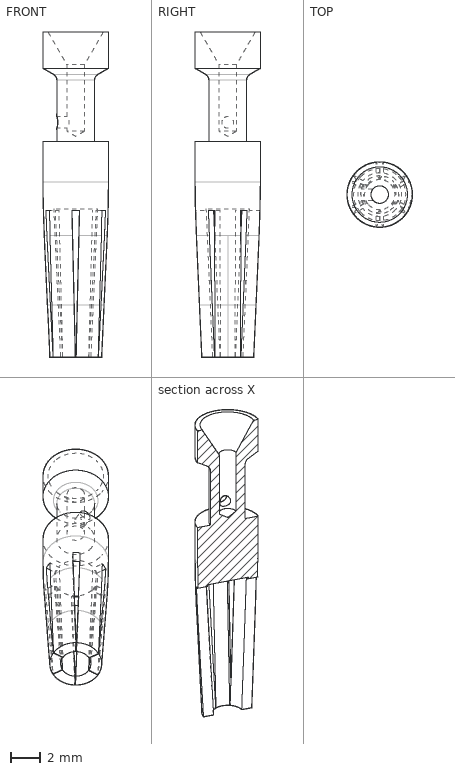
import cadquery as cq
import math

total_height = 22.3
body_radius = 2.25
tip_radius = 1.785

body_top_z = 14.8
collar_bottom_z = 12.0
bend_bottom_z = 8.35
tip_band_z = 3.6
bend_apex_z = (collar_bottom_z + bend_bottom_z) / 2
taper_angle = math.atan((body_radius - tip_radius) / bend_apex_z)

neck_radius = 1.3
head_height = 2.5
head_bottom_z = total_height - head_height
head_cone_angle = math.radians(30)
neck_fillet_radius = 0.45

funnel_radius = 1.9
funnel_half_angle = math.radians(30)
wire_radius = 0.6
wire_bottom_z = 15.5
drill_half_angle = math.radians(59)

inspection_radius = 0.4
inspection_z = 16.1

finger_wall = 0.75
socket_depth = bend_apex_z
slot_count = 6
slot_height = 10.05
slot_top_width = 0.5
slot_tip_width = 0.03
slot_overshoot = 1.0


def taper_radius(z):
    """Radius of the cone that forms the lower part of the body."""
    return tip_radius + z * math.tan(taper_angle)


def make_outside():
    """Turned outline revolved around Z, with the tip band kept as its own face."""
    bend_radius = (collar_bottom_z - bend_bottom_z) / math.sin(taper_angle)
    bend_mid_angle = taper_angle / 2
    bend_mid = (
        body_radius - bend_radius * (1 - math.cos(bend_mid_angle)),
        collar_bottom_z - bend_radius * math.sin(bend_mid_angle),
    )

    cone_foot_z = head_bottom_z - (body_radius - neck_radius) * math.tan(head_cone_angle)
    turn_angle = math.pi / 2 - head_cone_angle
    tangent_length = neck_fillet_radius * math.tan(turn_angle / 2)
    fillet_bottom_z = cone_foot_z - tangent_length
    fillet_center_r = neck_radius + neck_fillet_radius
    fillet_mid = (
        fillet_center_r - neck_fillet_radius * math.cos(turn_angle / 2),
        fillet_bottom_z + neck_fillet_radius * math.sin(turn_angle / 2),
    )
    fillet_top = (
        neck_radius + tangent_length * math.cos(head_cone_angle),
        cone_foot_z + tangent_length * math.sin(head_cone_angle),
    )

    return (
        cq.Workplane("XZ")
        .moveTo(0, 0)
        .lineTo(tip_radius, 0)
        .lineTo(taper_radius(tip_band_z), tip_band_z)
        .lineTo(taper_radius(bend_bottom_z), bend_bottom_z)
        .threePointArc(bend_mid, (body_radius, collar_bottom_z))
        .lineTo(body_radius, body_top_z)
        .lineTo(neck_radius, body_top_z)
        .lineTo(neck_radius, fillet_bottom_z)
        .threePointArc(fillet_mid, fillet_top)
        .lineTo(body_radius, head_bottom_z)
        .lineTo(body_radius, total_height)
        .lineTo(0, total_height)
        .close()
        .revolve(360, (0, 0, 0), (0, 1, 0), clean=False)
    )


def make_wire_entry():
    """Funnel leading into a drilled bore with a conical end."""
    funnel_bottom_z = total_height - (funnel_radius - wire_radius) / math.tan(funnel_half_angle)
    drill_tip_z = wire_bottom_z - wire_radius / math.tan(drill_half_angle)
    return (
        cq.Workplane("XZ")
        .moveTo(0, total_height)
        .lineTo(funnel_radius, total_height)
        .lineTo(wire_radius, funnel_bottom_z)
        .lineTo(wire_radius, wire_bottom_z)
        .lineTo(0, drill_tip_z)
        .close()
        .revolve(360, (0, 0, 0), (0, 1, 0))
    )


def make_inspection_hole():
    """Radial hole from the axis out through the -X side."""
    return (
        cq.Workplane("YZ")
        .center(0, inspection_z)
        .circle(inspection_radius)
        .extrude(-body_radius)
    )


def make_socket_bore():
    """Bore that tapers in toward the tip, following the outer cone."""
    return (
        cq.Workplane("XZ")
        .moveTo(0, 0)
        .lineTo(tip_radius - finger_wall, 0)
        .lineTo(taper_radius(socket_depth) - finger_wall, socket_depth)
        .lineTo(0, socket_depth)
        .close()
        .revolve(360, (0, 0, 0), (0, 1, 0))
    )


def make_slot(angle):
    """One slot from the axis outward, narrowing toward the tip."""
    return (
        cq.Workplane("XZ")
        .moveTo(-slot_tip_width / 2, 0)
        .lineTo(slot_tip_width / 2, 0)
        .lineTo(slot_top_width / 2, slot_height)
        .lineTo(-slot_top_width / 2, slot_height)
        .close()
        .extrude(body_radius + slot_overshoot)
        .rotate((0, 0, 0), (0, 0, 1), angle)
    )


result = make_outside()
result = result.cut(make_wire_entry(), clean=False)
result = result.cut(make_inspection_hole(), clean=False)
result = result.cut(make_socket_bore(), clean=False)
for slot_index in range(slot_count):
    result = result.cut(make_slot(slot_index * 360 / slot_count), clean=False)